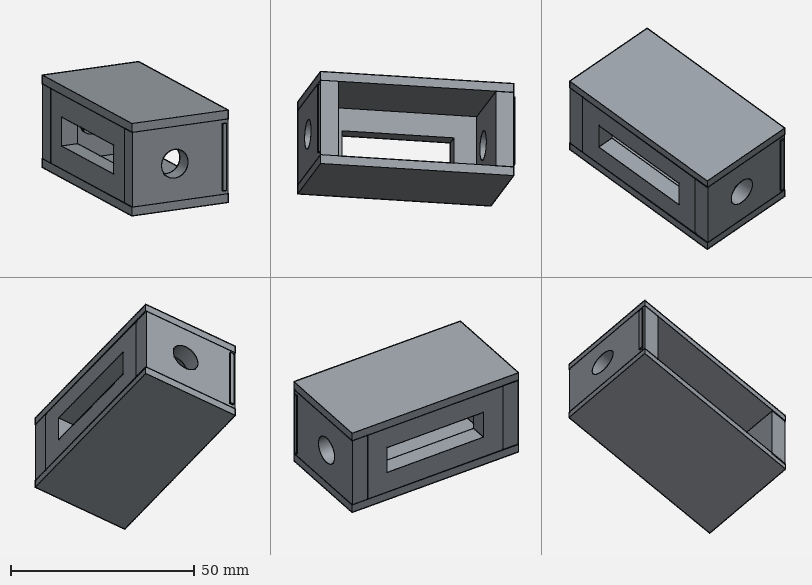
import cadquery as cq

plate_length = 54.0
plate_depth = 29.5
plate_thickness = 2.5
total_height = 26.3
wall_height = total_height - 2 * plate_thickness
plate_yaw = -0.19

wall_thickness = 5.0
end_inset = 0.1
panel_gap = 0.05
end_depth = plate_depth - 2 * end_inset
wall_front = -plate_depth / 2 + end_inset
panel_left = -plate_length / 2 + wall_thickness + panel_gap
panel_right = plate_length / 2 - wall_thickness

window_length = 31.3
window_height = 8.25
bore_diameter = 8.1
bore_from_front = 13.05

total_length = 54.85
rib_projection = (total_length - plate_length) / 2
rib_width = 1.1
rib_height = 19.1
rib_from_back = 1.35
rib_y = plate_depth / 2 - rib_from_back


def make_plate(side):
    """Flat cover: side is +1 for the top plate and -1 for the bottom plate."""
    z_centre = side * (wall_height + plate_thickness) / 2
    plate = cq.Workplane("XY").box(plate_length, plate_depth, plate_thickness)
    return plate.rotate((0, 0, 0), (0, 0, 1), plate_yaw).translate((0, 0, z_centre))


def make_end_wall(side):
    """End wall with a bore and an outer rib: side is -1 for left and +1 for right."""
    wall_x = side * (plate_length - wall_thickness) / 2
    rib_x = side * (plate_length + rib_projection) / 2
    wall = cq.Workplane("XY").box(wall_thickness, end_depth, wall_height).translate((wall_x, 0, 0))
    rib = cq.Workplane("XY").box(rib_projection, rib_width, rib_height).translate((rib_x, rib_y, 0))
    bore = (
        cq.Workplane("YZ")
        .center(-plate_depth / 2 + bore_from_front, 0)
        .circle(bore_diameter / 2)
        .extrude(plate_length, both=True)
    )
    return wall.union(rib).cut(bore)


def make_front_panel():
    """Front wall between the end walls, with a rectangular window through it."""
    panel = cq.Workplane("XY").box(
        panel_right - panel_left, wall_thickness, wall_height - panel_gap, centered=False
    ).translate((panel_left, wall_front, -wall_height / 2))
    window = cq.Workplane("XY").box(window_length, 2 * plate_depth, window_height)
    return panel.cut(window)


plates = [make_plate(side) for side in (-1, 1)]
end_walls = [make_end_wall(side) for side in (-1, 1)]
front_panel = make_front_panel()

result = cq.Compound.makeCompound([
    *[plate.val() for plate in plates],
    *[wall.val() for wall in end_walls],
    front_panel.val(),
])